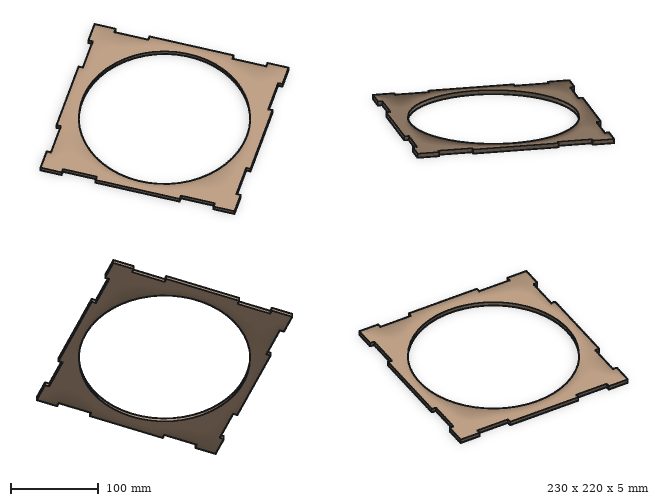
import cadquery as cq

length = 230.0
width = 220.0
thickness = 5.0
opening_diameter = 195.0

corner_length = 25.0
notch_length = 40.0
notch_depth = thickness


def edge_notches(along_x):
    """Cutters for the four notches in the two edges that run along X or along Y."""
    edge_length, edge_spacing = (length, width) if along_x else (width, length)
    along = edge_length / 2 - corner_length - notch_length / 2
    across = edge_spacing / 2 - notch_depth / 2
    cutters = cq.Workplane("XY")
    if along_x:
        centers = [(i * along, j * across) for i in (-1, 1) for j in (-1, 1)]
        cutters = cutters.pushPoints(centers).rect(notch_length, notch_depth)
    else:
        centers = [(i * across, j * along) for i in (-1, 1) for j in (-1, 1)]
        cutters = cutters.pushPoints(centers).rect(notch_depth, notch_length)
    return cutters.extrude(thickness)


plate = cq.Workplane("XY").rect(length, width).extrude(thickness)
opening = cq.Workplane("XY").circle(opening_diameter / 2).extrude(thickness)

result = plate.cut(opening).cut(edge_notches(True)).cut(edge_notches(False))